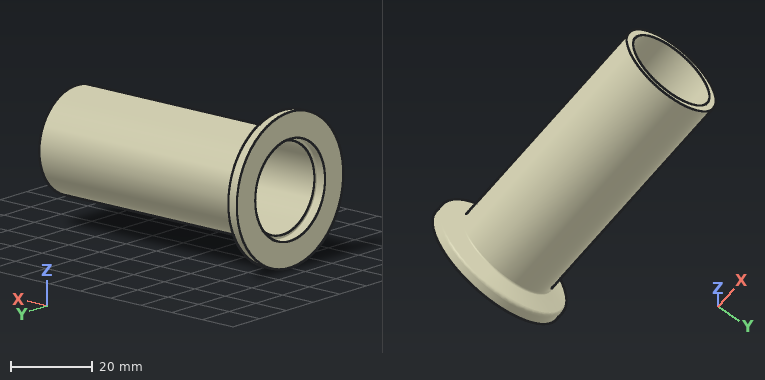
import cadquery as cq
import math

length = 70.0
flange_radius = 40.0 / 2
tube_radius = 14.0
bore_radius = 12.0

rim_width = 3.1
taper_angle = 15.0
rim_fillet = 1.0
root_fillet = 0.5
taper_end = rim_width + (flange_radius - tube_radius) * math.tan(math.radians(taper_angle))

recess_radius = 13.1
recess_depth = 2.5
recess_fillet = 0.3


def disc(radius, depth):
    """Cylinder along +X starting at the flange face."""
    return cq.Workplane("YZ").circle(radius).extrude(depth)


def circle_edge_at(x, radius):
    """Selector for the circular edge of the given radius at station x."""
    margin = 0.035
    reach = radius + margin
    return cq.selectors.BoxSelector(
        (x - margin, -reach, -reach), (x + margin, reach, reach), boundingbox=True
    )


body = (
    cq.Workplane("XY")
    .moveTo(0, 0)
    .lineTo(0, flange_radius)
    .lineTo(rim_width, flange_radius)
    .lineTo(taper_end, tube_radius)
    .lineTo(length, tube_radius)
    .lineTo(length, 0)
    .close()
    .revolve(360, (0, 0, 0), (1, 0, 0))
)
body = body.edges(circle_edge_at(rim_width, flange_radius)).fillet(rim_fillet)
body = body.edges(circle_edge_at(taper_end, tube_radius)).fillet(root_fillet)

recess = disc(recess_radius, recess_depth).edges(">X").fillet(recess_fillet)
result = body.cut(disc(bore_radius, length)).cut(recess)